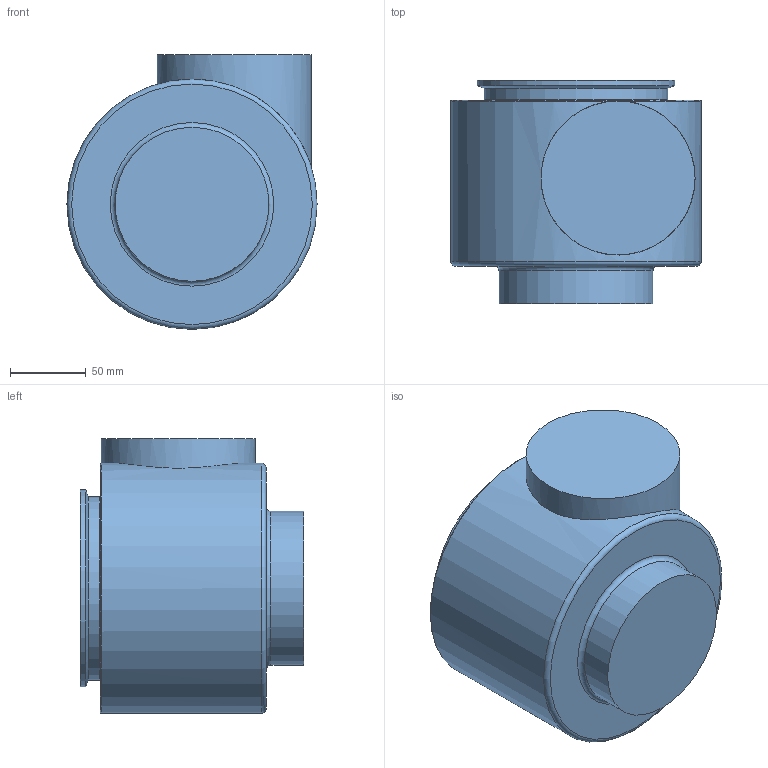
import cadquery as cq

overall_length = 147.62

drum_radius = 82.55
drum_length = 109.3
drum_front_fillet = 3.175
drum_rear_fillet = 0.5

pipe_radius = 50.8

front_pipe_length = 24.9
front_pipe_fillet = 3.175

ferrule_length = overall_length - drum_length - front_pipe_length
neck_radius = 60.6
neck_root_fillet = 0.4
flange_radius = 65.1
flange_rim_width = 3.6
flange_taper_length = 1.7

top_pipe_offset_x = 27.75
top_pipe_rear_gap = 0.5
top_pipe_height = 98.81


def revolve_about_y(profile):
    """Turn a closed (radius, Y) profile a full revolution about the Y axis."""
    return profile.close().revolve(360, (0, 0, 0), (0, 1, 0))


def make_drum():
    """Solid drum with a rounded front rim and a slightly eased rear rim."""
    drum = cq.Workplane("XZ").circle(drum_radius).extrude(drum_length)
    drum = drum.faces("<Y").edges().fillet(drum_front_fillet)
    return drum.faces(">Y").edges().fillet(drum_rear_fillet)


def make_front_pipe():
    """Front pipe with a concave fillet where it meets the drum face."""
    face_y = -drum_length
    end_y = face_y - front_pipe_length
    root_radius = pipe_radius + front_pipe_fillet
    root_y = face_y - front_pipe_fillet
    profile = (
        cq.Workplane("XY")
        .moveTo(0, face_y)
        .lineTo(root_radius, face_y)
        .radiusArc((pipe_radius, root_y), -front_pipe_fillet)
        .lineTo(pipe_radius, end_y)
        .lineTo(0, end_y)
    )
    return revolve_about_y(profile)


def make_ferrule():
    """Rear neck ending in a clamp flange with a tapered inner face."""
    rim_y = ferrule_length - flange_rim_width
    taper_y = rim_y - flange_taper_length
    profile = (
        cq.Workplane("XY")
        .moveTo(0, 0)
        .lineTo(neck_radius + neck_root_fillet, 0)
        .radiusArc((neck_radius, neck_root_fillet), neck_root_fillet)
        .lineTo(neck_radius, taper_y)
        .lineTo(flange_radius, rim_y)
        .lineTo(flange_radius, ferrule_length)
        .lineTo(0, ferrule_length)
    )
    return revolve_about_y(profile)


def make_top_pipe():
    """Vertical pipe rising from the level of the drum axis."""
    centre_y = -(pipe_radius + top_pipe_rear_gap)
    return (
        cq.Workplane("XY")
        .center(top_pipe_offset_x, centre_y)
        .circle(pipe_radius)
        .extrude(top_pipe_height)
    )


result = make_drum().union(make_front_pipe()).union(make_ferrule()).union(make_top_pipe())